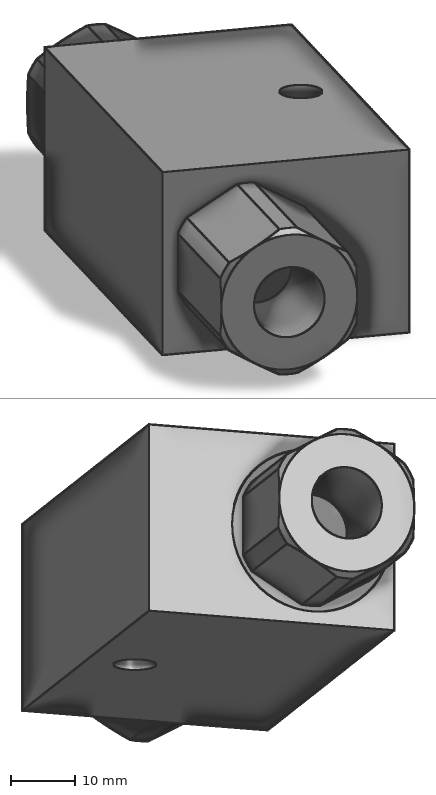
import cadquery as cq
import math

total_length = 107.0
body_depth = 40.0
body_height = 30.0
left_length = 18.0
right_length = 24.0
body_length = total_length - left_length - right_length

axis_y = 13.5
across_flats = 22.0
corner_diameter = 24.0
chamfer_angle = 30.0
port_diameter = 11.5
port_depth = left_length

spot_face_diameter = 26.0
spot_face_depth = 0.5

mount_diameter = 6.6
mount_from_back = 8.0


def fitting(length):
    """Hex with turned corners and a chamfered end, pointing along +X from X = 0."""
    hexagon = (
        cq.Workplane("YZ")
        .polygon(6, across_flats, circumscribed=True)
        .extrude(length)
    )
    end_radius = across_flats / 2
    corner_radius = corner_diameter / 2
    chamfer_length = (corner_radius - end_radius) * math.tan(math.radians(chamfer_angle))
    turned_envelope = (
        cq.Workplane("XY")
        .moveTo(0, 0)
        .lineTo(0, corner_radius)
        .lineTo(length - chamfer_length, corner_radius)
        .lineTo(length, end_radius)
        .lineTo(length, 0)
        .close()
        .revolve(360, (0, 0, 0), (1, 0, 0))
    )
    port = (
        cq.Workplane("YZ", origin=(length - port_depth, 0, 0))
        .circle(port_diameter / 2)
        .extrude(port_depth)
    )
    return hexagon.intersect(turned_envelope).cut(port)


body = cq.Workplane("XY").box(body_length, body_depth, body_height, centered=(True, False, True))
mount_hole = (
    cq.Workplane("XY", origin=(0, body_depth - mount_from_back, -body_height / 2))
    .circle(mount_diameter / 2)
    .extrude(body_height)
)

spot_face = (
    cq.Workplane("YZ", origin=(-body_length / 2, axis_y, 0))
    .circle(spot_face_diameter / 2)
    .extrude(spot_face_depth)
)

right_fitting = fitting(right_length).translate((body_length / 2, axis_y, 0))
left_fitting = (
    fitting(left_length + spot_face_depth)
    .rotate((0, 0, 0), (0, 0, 1), 180)
    .translate((spot_face_depth - body_length / 2, axis_y, 0))
)

result = body.cut(mount_hole).cut(spot_face).union(right_fitting).union(left_fitting)